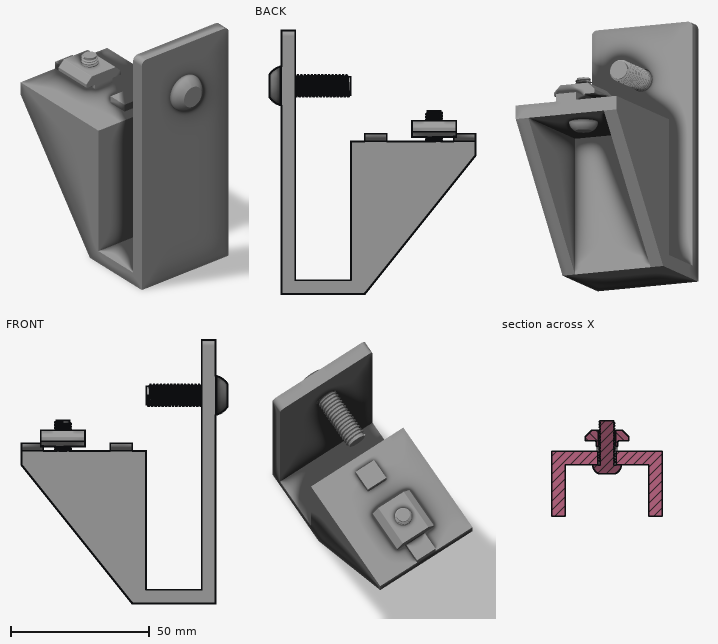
import cadquery as cq
import math

WIDTH = 40.0
HEIGHT = 95.0
LENGTH = 70.0
WALL = 5.0
CORNER_RADIUS = 2.0
BLOCK_LENGTH = 45.0
SHELF_HEIGHT = 55.0
SLOPE_FOOT = BLOCK_LENGTH - WALL
KEY_LENGTH = 8.0
KEY_WIDTH = 8.0
KEY_HEIGHT = 2.8
KEY_STARTS = (0.0, 32.0)

PLATE_SCREW_DIAMETER = 8.0
PLATE_SCREW_PITCH = 1.25
PLATE_SCREW_LENGTH = 25.0
PLATE_SCREW_HEAD_DIAMETER = 14.0
PLATE_SCREW_HEAD_HEIGHT = 4.4
PLATE_SCREW_HOLE = 8.5
PLATE_SCREW_HEIGHT = 75.0

SHELF_SCREW_DIAMETER = 6.0
SHELF_SCREW_PITCH = 1.0
SHELF_SCREW_LENGTH = 16.0
SHELF_SCREW_HEAD_DIAMETER = 10.5
SHELF_SCREW_HEAD_HEIGHT = 3.3
SHELF_SCREW_HOLE = 6.5
SHELF_SCREW_X = 15.0

HEAD_RIM_HEIGHT = 0.5
HEAD_FLAT_RATIO = 0.58
HEAD_BULGE = 0.3
TIP_CHAMFER = 0.6
RIDGE_SINK = 0.05
ENVELOPE_MARGIN = 0.01
SEAM_ANGLE = 37.0

NUT_LENGTH = 16.0
NUT_WIDTH = 16.0
NUT_TOP_WIDTH = 11.0
NUT_GAP = 1.5
NUT_BOTTOM = SHELF_HEIGHT + NUT_GAP
NUT_NECK_WIDTH = KEY_WIDTH
NUT_NECK_HEIGHT = 2.0
NUT_LIP_HEIGHT = 1.5
NUT_EDGE_RADIUS = 0.3
NUT_BORE_CLEARANCE = 0.1
NUT_BORE = SHELF_SCREW_DIAMETER + NUT_BORE_CLEARANCE
NUT_SLOPE_HEIGHT = (NUT_WIDTH - NUT_TOP_WIDTH) / 2


def make_nut():
    """T-slot nut lying along X, with its narrow neck downward."""
    lip_bottom = NUT_BOTTOM + NUT_NECK_HEIGHT
    lip_top = lip_bottom + NUT_LIP_HEIGHT
    top = lip_top + NUT_SLOPE_HEIGHT
    half_profile = [
        (NUT_NECK_WIDTH / 2, NUT_BOTTOM),
        (NUT_NECK_WIDTH / 2, lip_bottom),
        (NUT_WIDTH / 2, lip_bottom),
        (NUT_WIDTH / 2, lip_top),
        (NUT_TOP_WIDTH / 2, top),
    ]
    mirrored_half = [(-y, z) for y, z in reversed(half_profile)]
    body = (
        cq.Workplane("YZ", origin=(SHELF_SCREW_X - NUT_LENGTH / 2, 0, 0))
        .polyline(half_profile + mirrored_half)
        .close()
        .extrude(NUT_LENGTH)
    )
    return body.edges("|X").fillet(NUT_EDGE_RADIUS)


def cut_nut_bore(nut):
    """Plain bore that just clears the thread crests."""
    bore = (
        cq.Workplane("XY", origin=(SHELF_SCREW_X, 0, NUT_BOTTOM))
        .circle(NUT_BORE / 2)
        .extrude(NUT_LENGTH)
    )
    return nut.cut(bore)


def make_bracket(nut_blank):
    """Hollow wedge block joined by a floor to an upright plate, with two keys on its shelf."""
    side_profile = [
        (0, SHELF_HEIGHT),
        (0, SHELF_HEIGHT - WALL),
        (SLOPE_FOOT, 0),
        (LENGTH, 0),
        (LENGTH, HEIGHT),
        (LENGTH - WALL, HEIGHT),
        (LENGTH - WALL, WALL),
        (BLOCK_LENGTH, WALL),
        (BLOCK_LENGTH, SHELF_HEIGHT),
    ]
    body = cq.Workplane("XZ").polyline(side_profile).close().extrude(WIDTH / 2, both=True)
    body = body.edges("|X and >Z").fillet(CORNER_RADIUS)

    pocket = cq.Workplane("XY").box(
        SLOPE_FOOT, WIDTH - 2 * WALL, SHELF_HEIGHT - WALL, centered=(False, True, False)
    )
    body = body.cut(pocket)

    for start in KEY_STARTS:
        key = cq.Workplane("XY", origin=(start, 0, SHELF_HEIGHT)).box(
            KEY_LENGTH, KEY_WIDTH, KEY_HEIGHT, centered=(False, True, False)
        )
        body = body.union(key)
    body = body.cut(nut_blank)

    plate_hole = (
        cq.Workplane("YZ", origin=(LENGTH - WALL, 0, PLATE_SCREW_HEIGHT))
        .circle(PLATE_SCREW_HOLE / 2)
        .extrude(WALL)
    )
    shelf_hole = (
        cq.Workplane("XY", origin=(SHELF_SCREW_X, 0, SHELF_HEIGHT - WALL))
        .circle(SHELF_SCREW_HOLE / 2)
        .extrude(WALL)
    )
    return body.cut(plate_hole).cut(shelf_hole)


def thread_root_radius(diameter, pitch):
    """Root of the 60 degree thread, 5/8 of the full triangle's height below the crest."""
    triangle_height = pitch * math.sqrt(3) / 2
    return diameter / 2 - triangle_height * 5 / 8


def make_thread_ridge(diameter, pitch, length):
    """Helical ridge of the thread, its foot sunk a little into the core."""
    crest_radius = diameter / 2
    foot_radius = thread_root_radius(diameter, pitch) - RIDGE_SINK
    crest_half_width = pitch / 16
    foot_half_width = crest_half_width + (crest_radius - foot_radius) / math.sqrt(3)
    start = pitch * 3 / 4
    end = length - pitch / 2
    helix = cq.Wire.makeHelix(pitch, end - start, crest_radius, center=cq.Vector(0, 0, start))
    section = [
        (foot_radius, start - foot_half_width),
        (crest_radius, start - crest_half_width),
        (crest_radius, start + crest_half_width),
        (foot_radius, start + foot_half_width),
    ]
    return cq.Workplane("XZ").polyline(section).close().sweep(cq.Workplane(helix), isFrenet=True)


def make_screw(diameter, pitch, length, head_diameter, head_height):
    """Button head screw with its thread pointing up Z and the head's seat on Z = 0."""
    core = cq.Workplane("XY").circle(thread_root_radius(diameter, pitch)).extrude(length)
    core = core.rotate((0, 0, 0), (0, 0, 1), SEAM_ANGLE)
    shank = core.union(make_thread_ridge(diameter, pitch, length))
    tip_envelope = (
        cq.Workplane("XY")
        .circle(diameter / 2 + ENVELOPE_MARGIN)
        .extrude(length)
        .faces(">Z")
        .chamfer(TIP_CHAMFER)
    )
    shank = shank.intersect(tip_envelope)

    head_radius = head_diameter / 2
    flat_radius = head_radius * HEAD_FLAT_RATIO
    dome_middle = (
        (head_radius + flat_radius) / 2 + HEAD_BULGE,
        -(HEAD_RIM_HEIGHT + head_height) / 2 - HEAD_BULGE,
    )
    head = (
        cq.Workplane("XZ")
        .lineTo(head_radius, 0)
        .lineTo(head_radius, -HEAD_RIM_HEIGHT)
        .threePointArc(dome_middle, (flat_radius, -head_height))
        .lineTo(0, -head_height)
        .close()
        .revolve(360, (0, 0, 0), (0, 1, 0))
    )
    return shank.union(head)


nut_blank = make_nut()
t_nut = cut_nut_bore(nut_blank)
bracket = make_bracket(nut_blank)

shelf_screw = make_screw(
    SHELF_SCREW_DIAMETER,
    SHELF_SCREW_PITCH,
    SHELF_SCREW_LENGTH,
    SHELF_SCREW_HEAD_DIAMETER,
    SHELF_SCREW_HEAD_HEIGHT,
).translate((SHELF_SCREW_X, 0, SHELF_HEIGHT - WALL))

plate_screw = (
    make_screw(
        PLATE_SCREW_DIAMETER,
        PLATE_SCREW_PITCH,
        PLATE_SCREW_LENGTH,
        PLATE_SCREW_HEAD_DIAMETER,
        PLATE_SCREW_HEAD_HEIGHT,
    )
    .rotate((0, 0, 0), (0, 1, 0), -90)
    .translate((LENGTH, 0, PLATE_SCREW_HEIGHT))
)

result = cq.Compound.makeCompound([bracket.val(), t_nut.val(), shelf_screw.val(), plate_screw.val()])